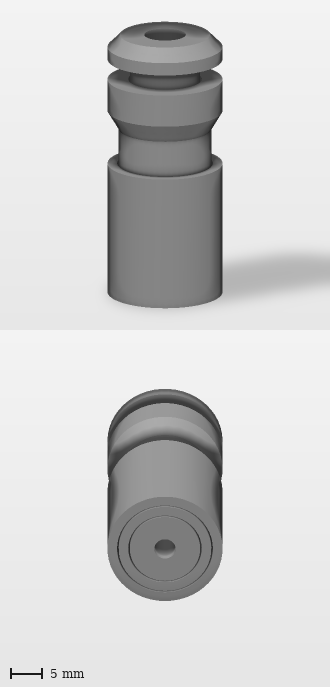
import cadquery as cq

total_height = 42.0
outer_diameter = 18.0

sleeve_height = 21.0
sleeve_bore_diameter = 15.0

tube_diameter = 14.5
tube_bore_diameter = 11.5
collar_foot_z = 26.65
collar_taper_height = 3.0
collar_rim_z = collar_foot_z + collar_taper_height
collar_top_z = 34.75

stem_diameter = 11.0
stem_hole_diameter = 3.3
head_height = 4.0
head_chamfer = 1.97
counterbore_diameter = 6.5
counterbore_depth = 2.48
head_bottom_z = total_height - head_height


def cylinder(diameter, bottom_z, top_z):
    """Upright cylinder on the Z axis between two heights."""
    return cq.Workplane("XY").workplane(offset=bottom_z).circle(diameter / 2).extrude(top_z - bottom_z)


def make_sleeve():
    """Plain outer sleeve with a through bore."""
    return cylinder(outer_diameter, 0, sleeve_height).cut(
        cylinder(sleeve_bore_diameter, 0, sleeve_height)
    )


def make_collared_tube():
    """Middle tube, revolved with a collar whose underside tapers in to the tube."""
    bore_radius = tube_bore_diameter / 2
    tube_radius = tube_diameter / 2
    rim_radius = outer_diameter / 2
    return (
        cq.Workplane("XZ")
        .moveTo(bore_radius, 0)
        .lineTo(tube_radius, 0)
        .lineTo(tube_radius, collar_foot_z)
        .lineTo(rim_radius, collar_rim_z)
        .lineTo(rim_radius, collar_top_z)
        .lineTo(bore_radius, collar_top_z)
        .close()
        .revolve(360, (0, 0, 0), (0, 1, 0))
    )


def make_headed_stem():
    """Inner stem with a chamfered head, a through hole and a counterbore."""
    head = cylinder(outer_diameter, head_bottom_z, total_height).faces(">Z").chamfer(head_chamfer)
    stem = cylinder(stem_diameter, 0, head_bottom_z).union(head)
    through_hole = cylinder(stem_hole_diameter, 0, total_height)
    counterbore = cylinder(counterbore_diameter, total_height - counterbore_depth, total_height)
    return stem.cut(through_hole).cut(counterbore)


sleeve = make_sleeve()
collared_tube = make_collared_tube()
headed_stem = make_headed_stem()

result = cq.Compound.makeCompound([sleeve.val(), collared_tube.val(), headed_stem.val()])